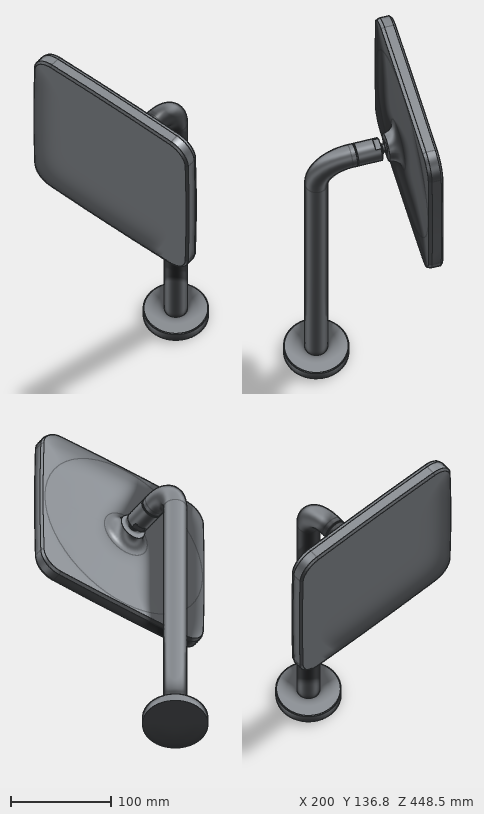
import cadquery as cq
import math

total_height = 448.5
base_diameter = 65.5
base_height = 10.5
base_edge_chamfer = 1.0
tube_diameter = 23.5
bend_radius = 35.0

groove_start = 40.0
groove_width = 1.5
groove_depth = 0.67
flat_start = 60.0
arm_end = 66.5
hub_back = 72.5
dome_apex = 84.8
rim_back = 89.0
head_shoulder = 92.5
head_front = 104.0

flat_depth = 2.0
arm_end_chamfer = 1.0
neck_diameter = 10.5
neck_waist_diameter = 8.5
neck_collar = 2.0

head_size = 200.0
side_bow = 2.0
corner_radius = 23.0
front_chamfer = 2.2
rear_inset = 1.5
hub_diameter = 28.5
flare_radius = 27.0
dome_rim_radius = 96.5

dome_rim_drop = rim_back - dome_apex
tube_radius = tube_diameter / 2
arm_height = total_height - head_size / 2
pole_top = arm_height - bend_radius


def rod(diameter, start, end):
    """Round bar on the arm axis between two distances from the pole."""
    plane = cq.Workplane("XZ", origin=(0, -start, arm_height))
    return plane.circle(diameter / 2).extrude(end - start)


def make_stand():
    base = cq.Workplane("XY").circle(base_diameter / 2).extrude(base_height)
    base = base.faces(">Z").edges().chamfer(base_edge_chamfer)
    pole = cq.Workplane("XY").circle(tube_radius).extrude(pole_top)
    bend = (
        cq.Workplane("XY", origin=(0, 0, pole_top))
        .circle(tube_radius)
        .revolve(90, (-4.5, -bend_radius, 0), (4.5, -bend_radius, 0))
    )
    return base.union(pole).union(bend)


def make_arm():
    arm = rod(tube_diameter, bend_radius, arm_end)
    arm = arm.faces("<Y").edges().chamfer(arm_end_chamfer)
    groove_end = groove_start + groove_width
    core = rod(tube_diameter - 2 * groove_depth, groove_start, groove_end)
    arm = arm.cut(rod(2 * tube_diameter, groove_start, groove_end).cut(core))
    flat_length = arm_end - flat_start
    for side in (-1, 1):
        flat_height = arm_height + side * (tube_radius - flat_depth / 2)
        cutter = cq.Workplane("XY").box(tube_diameter, flat_length, flat_depth)
        arm = arm.cut(cutter.translate((0, -(flat_start + arm_end) / 2, flat_height)))
    arm = arm.union(rod(neck_waist_diameter, arm_end, hub_back))
    arm = arm.union(rod(neck_diameter, arm_end, arm_end + neck_collar))
    return arm.union(rod(neck_diameter, hub_back - neck_collar, hub_back))


def head_outline(distance):
    """Square outline with bowed sides at a distance in front of the pole."""
    middle = head_size / 2
    corner = middle - side_bow
    return (
        cq.Workplane("XZ", origin=(0, -distance, arm_height))
        .moveTo(-corner, -corner)
        .threePointArc((0, -middle), (corner, -corner))
        .threePointArc((middle, 0), (corner, corner))
        .threePointArc((0, middle), (-corner, corner))
        .threePointArc((-middle, 0), (-corner, -corner))
        .close()
    )


def make_head():
    plate = head_outline(rim_back).extrude(head_front - rim_back)
    plate = plate.edges("|Y").fillet(corner_radius)
    plate = plate.faces("<Y").edges().chamfer(front_chamfer)
    plate = plate.faces(">Y").edges().chamfer(head_shoulder - rim_back, rear_inset)

    dome = (
        cq.Workplane("XY")
        .moveTo(0, -dome_apex)
        .threePointArc((dome_rim_radius / 2, -dome_apex - dome_rim_drop / 4),
                       (dome_rim_radius, -rim_back))
        .lineTo(dome_rim_radius, -head_shoulder)
        .lineTo(0, -head_shoulder)
        .close()
        .revolve(360, (0, 0, 0), (0, 1, 0))
        .translate((0, 0, arm_height))
    )
    return plate.union(dome)


def make_hub():
    """Round hub that flares concavely into the dome."""
    hub_radius = hub_diameter / 2
    flare_end = dome_apex + dome_rim_drop * (flare_radius / dome_rim_radius) ** 2
    flare_width = flare_radius - hub_radius
    flare_length = flare_end - hub_back
    bulge = math.sqrt(0.5)
    flare_middle = flare_radius - flare_width * bulge
    flare_waist = hub_back + flare_length * bulge
    return (
        cq.Workplane("XY")
        .moveTo(0, -hub_back)
        .lineTo(hub_radius, -hub_back)
        .threePointArc((flare_middle, -flare_waist), (flare_radius, -flare_end))
        .lineTo(flare_radius, -head_shoulder)
        .lineTo(0, -head_shoulder)
        .close()
        .revolve(360, (0, 0, 0), (0, 1, 0))
        .translate((0, 0, arm_height))
    )


result = make_stand().union(make_arm()).union(make_head()).union(make_hub())